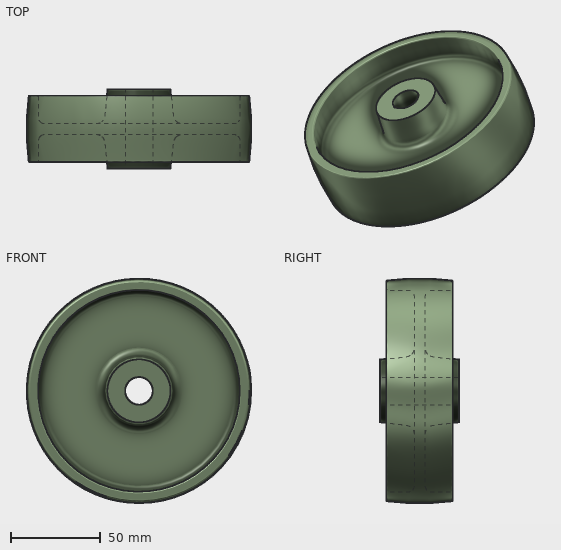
import cadquery as cq
import math

tread_diameter = 125.0
tread_edge_diameter = 122.5
rim_width = 37.0
rim_bore_diameter = 112.0
rim_edge_fillet = 1.0
rim_to_web_fillet = 3.5
web_thickness = 6.0
hub_length = 44.0
hub_end_diameter = 35.0
hub_root_diameter = 39.0
hub_to_web_fillet = 5.0
axle_bore_diameter = 15.2

tread_radius = tread_diameter / 2
tread_edge_radius = tread_edge_diameter / 2
rim_bore_radius = rim_bore_diameter / 2
hub_end_radius = hub_end_diameter / 2
hub_root_radius = hub_root_diameter / 2
axle_bore_radius = axle_bore_diameter / 2
rim_half_width = rim_width / 2
web_half_thickness = web_thickness / 2
hub_half_length = hub_length / 2

crown_drop = tread_radius - tread_edge_radius
crown_arc_radius = (rim_half_width**2 + crown_drop**2) / (2 * crown_drop)


def crown_point(axial):
    """Point on the crowned tread at an axial distance from the mid-plane."""
    radius = tread_radius - crown_arc_radius + math.sqrt(crown_arc_radius**2 - axial**2)
    return (radius, axial)


def make_wheel_body():
    """Revolve the full cross-section, in (radius, axial) coordinates, about Y."""
    profile = (
        cq.Workplane("XY")
        .moveTo(axle_bore_radius, -hub_half_length)
        .lineTo(hub_end_radius, -hub_half_length)
        .lineTo(hub_root_radius, -web_half_thickness)
        .lineTo(rim_bore_radius, -web_half_thickness)
        .lineTo(rim_bore_radius, -rim_half_width)
        .lineTo(*crown_point(-rim_half_width))
        .threePointArc(crown_point(0), crown_point(rim_half_width))
        .lineTo(rim_bore_radius, rim_half_width)
        .lineTo(rim_bore_radius, web_half_thickness)
        .lineTo(hub_root_radius, web_half_thickness)
        .lineTo(hub_end_radius, hub_half_length)
        .lineTo(axle_bore_radius, hub_half_length)
        .close()
    )
    return profile.revolve(360, (0, 0, 0), (0, 1, 0))


def fillet_rings(body, ring_radius, axial, fillet_radius):
    """Fillet the matching circular edges on both sides of the wheel."""
    tolerance = 0.01

    def is_ring(edge):
        return (
            edge.geomType() == "CIRCLE"
            and abs(edge.radius() - ring_radius) < tolerance
            and abs(abs(edge.Center().y) - axial) < tolerance
        )

    rings = [edge for edge in body.edges().vals() if is_ring(edge)]
    return body.newObject(rings).fillet(fillet_radius)


wheel = make_wheel_body()
wheel = fillet_rings(wheel, hub_root_radius, web_half_thickness, hub_to_web_fillet)
wheel = fillet_rings(wheel, rim_bore_radius, web_half_thickness, rim_to_web_fillet)
wheel = fillet_rings(wheel, rim_bore_radius, rim_half_width, rim_edge_fillet)
wheel = fillet_rings(wheel, tread_edge_radius, rim_half_width, rim_edge_fillet)
result = wheel